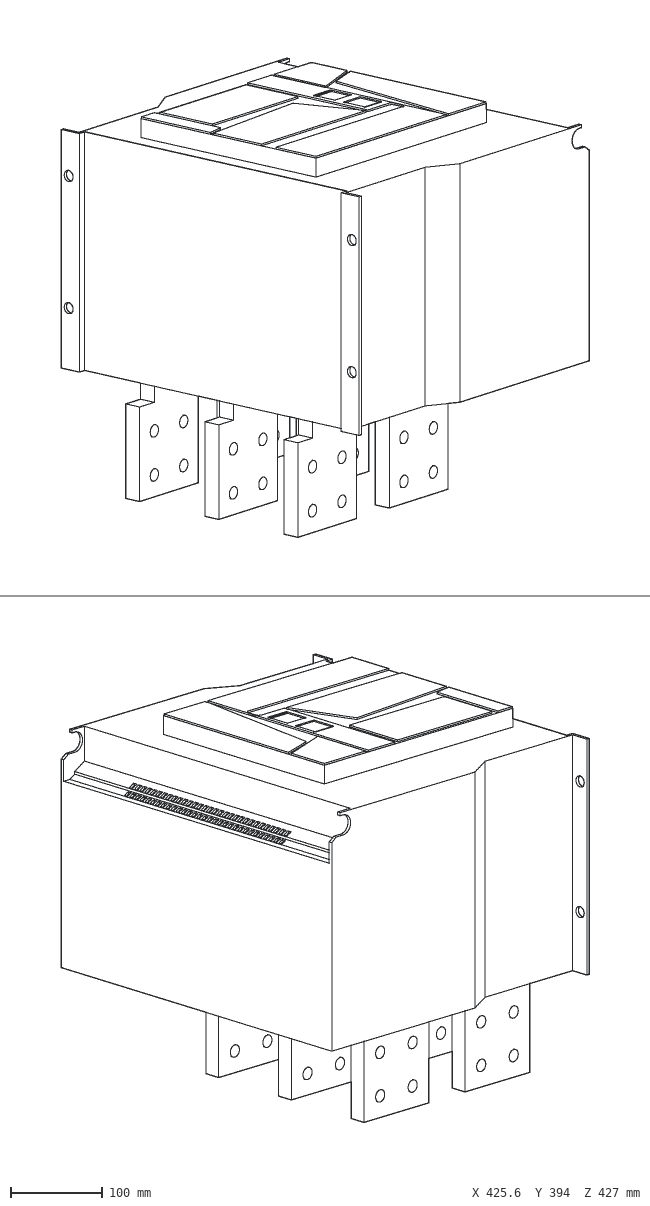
import cadquery as cq
import math


flange_width = 425.6
depth = 394.0
height = 271.0
rear_width = 421.0
front_width = 381.5
sheet = 4.0
flange_inset = 26.0
taper_start = 138.5
taper_end = 174.0
front_face_y = 9.0
cover_thickness = 1.0
cover_drop = 0.1

flange_hole_diameter = 12.5
flange_hole_span = 404.5
flange_hole_heights = (70.0, 220.0)

notch_radius = 11.5
notch_centre_y = depth - 17.5
notch_centre_z = height - 15.0
hook_length = 13.0
corner_chamfer = 7.0
corner_chamfer_drop = 5.0

shelf_length = 9.5
riser_distance = 17.0
recess_length = 32.0
recess_wall_drop = 40.0
slope_angle = 30.0
riser_height = 3.0

vent_count = 31
vent_pitch = 8.0
vent_width = 4.6
vent_depth = 3.0
vent_rows = ((10.3, 15.5), (17.8, 24.3))

panel_width = 250.0
panel_length = 290.0
panel_front_y = 31.0
panel_height = 23.5
relief = 2.0
relief_inset = 0.3
panel_base = panel_height - relief
grip_left = 172.0
grip_right = 192.5
grip_corner_radius = 5.0
grip_top = 221.0
band_bottom = 181.0
band_top = 222.0
window_width = 30.5
window_bottom = 188.5
window_length = 28.5
window_lefts = (88.2, 131.0)
window_depth = 1.5
window_ledge_depth = 0.8
window_ledge = 2.0

bar_thickness = 20.0
bar_spacing = 113.0
bar_width = 100.0
bar_drop = 132.5
bar_corner = 25.0
bar_hole_diameter = 14.0
bar_hole_edge = 25.0
bar_hole_spacing = 50.0
front_bar_y = 2.6
rear_bar_y = 158.0

slope_rise = math.tan(math.radians(slope_angle))


def box(x0, x1, y0, y1, z0, z1):
    return cq.Workplane("XY").box(x1 - x0, y1 - y0, z1 - z0, centered=False).translate((x0, y0, z0))


def prism_along_x(points, x0, x1):
    return cq.Workplane("YZ", origin=(x0, 0, 0)).polyline(points).close().extrude(x1 - x0)


def enclosure():
    """Block with tapered sides and two front flanges.

    The front cover ends just below the top face.
    """
    half_flange = flange_width / 2
    half_front = front_width / 2
    half_rear = rear_width / 2
    right_side = [
        (half_flange - flange_inset, front_face_y),
        (half_flange - flange_inset, 0),
        (half_flange, 0),
        (half_flange, sheet),
        (half_front, sheet),
        (half_front, taper_start),
        (half_rear, taper_end),
        (half_rear, depth),
    ]
    left_side = [(-x, y) for x, y in reversed(right_side)]
    body = cq.Workplane("XY").polyline(right_side + left_side).close().extrude(height)
    holes = (
        cq.Workplane("XZ")
        .pushPoints([(side * flange_hole_span / 2, z) for side in (-1, 1) for z in flange_hole_heights])
        .circle(flange_hole_diameter / 2)
        .extrude(-sheet)
    )
    half_inside = half_flange - flange_inset
    cover_edge = box(
        -half_inside, half_inside,
        front_face_y, front_face_y + cover_thickness,
        height - cover_drop, height,
    )
    return body.cut(holes).cut(cover_edge)


def lower_slope_z(distance):
    """Height of the lower slope at a distance inward from the rear."""
    upper_foot = height - recess_wall_drop - (recess_length - riser_distance) * slope_rise
    return upper_foot - riser_height - (riser_distance - distance) * slope_rise


def slope_z(distance):
    """Height of the sloped surface, with the riser between the two slopes."""
    if distance > riser_distance:
        return lower_slope_z(distance) + riser_height
    return lower_slope_z(distance)


def rear_recess():
    """Cut between the side plates that leaves a shelf and two slopes parted by a riser."""
    half_inside = rear_width / 2 - sheet
    shelf_z = lower_slope_z(shelf_length)
    profile = [
        (depth, height),
        (depth - recess_length, height),
        (depth - recess_length, slope_z(recess_length)),
        (depth - riser_distance, lower_slope_z(riser_distance) + riser_height),
        (depth - riser_distance, lower_slope_z(riser_distance)),
        (depth - shelf_length, shelf_z),
        (depth, shelf_z),
    ]
    return prism_along_x(profile, -half_inside, half_inside)


def vent_slots():
    """Two rows of slots sunk square to the slopes."""
    inward_y = vent_depth * math.sin(math.radians(slope_angle))
    inward_z = vent_depth * math.cos(math.radians(slope_angle))
    slots = []
    for rear_end, front_end in vent_rows:
        rear_y = depth - rear_end
        front_y = depth - front_end
        profile = [
            (rear_y, slope_z(rear_end)),
            (front_y, slope_z(front_end)),
            (front_y - inward_y, slope_z(front_end) - inward_z),
            (rear_y - inward_y, slope_z(rear_end) - inward_z),
        ]
        slot = prism_along_x(profile, -vent_width / 2, vent_width / 2).val()
        for index in range(vent_count):
            offset = (index - (vent_count - 1) / 2) * vent_pitch
            slots.append(slot.translate(cq.Vector(offset, 0, 0)))
    return cq.Workplane(cq.Compound.makeCompound(slots))


def side_notch():
    """Rounded slot open to the rear, leaving a short hook above it."""
    lip_z = notch_centre_z + notch_radius
    floor_z = notch_centre_z - notch_radius
    return (
        cq.Workplane("YZ", origin=(-rear_width / 2, 0, 0))
        .moveTo(depth, height)
        .lineTo(depth - hook_length, height)
        .lineTo(depth - hook_length, lip_z)
        .lineTo(notch_centre_y, lip_z)
        .threePointArc((notch_centre_y - notch_radius, notch_centre_z), (notch_centre_y, floor_z))
        .lineTo(depth - corner_chamfer, floor_z)
        .lineTo(depth, floor_z - corner_chamfer_drop)
        .close()
        .extrude(rear_width)
    )


def raised_plate(points):
    return cq.Workplane("XY").workplane(offset=panel_base).polyline(points).close().extrude(relief)


def control_plate():
    """Band with two windows, joined to the right-hand column around the grip groove."""
    plate = raised_plate([
        (0, band_bottom),
        (grip_left, band_bottom),
        (grip_left, 0),
        (panel_width, 0),
        (panel_width, band_top),
        (0, band_top),
    ])
    grip = box(grip_left, grip_right, 0, grip_top, panel_base, panel_height)
    plate = plate.cut(grip.edges("|Z and >Y").fillet(grip_corner_radius))
    window_top = window_bottom + window_length
    for left, ledge_left, ledge_right in (
        (window_lefts[0], window_ledge, 0),
        (window_lefts[1], 0, window_ledge),
    ):
        right = left + window_width
        ledge = box(left, right, window_bottom, window_top, panel_height - window_ledge_depth, panel_height)
        opening = box(
            left + ledge_left, right - ledge_right,
            window_bottom, window_top,
            panel_height - window_depth, panel_height,
        )
        plate = plate.cut(ledge).cut(opening)
    return plate


def panel():
    """Top panel, built from its own front left corner and then put in place."""
    upper_left = [(0, 226), (74.5, 226), (51, panel_length), (0, panel_length)]
    upper_right = [(56, panel_length), (70, 248.5), (panel_width, 226), (panel_width, panel_length)]
    label_plate = [(3.7, 28), (78.5, 28), (78.5, 173.5), (3.7, 173.5)]
    lower_left = [(0, 0), (99, 0), (95, 22.5), (0, 22.5)]
    lower_middle = [(103, 0), (grip_left, 0), (grip_left, 178), (91.5, 149.5)]
    plates = control_plate()
    for outline in (upper_left, upper_right, label_plate, lower_left, lower_middle):
        plates = plates.union(raised_plate(outline))
    plates = plates.intersect(box(
        relief_inset, panel_width - relief_inset,
        relief_inset, panel_length - relief_inset,
        panel_base, panel_height,
    ))
    built = box(0, panel_width, 0, panel_length, 0, panel_base).union(plates)
    return built.translate((-panel_width / 2, panel_front_y, height))


def terminal_bar(centre_x, front_y, corner_at_front):
    """Drilled bar with one upper corner cut away at its front or its rear."""
    x0 = centre_x - bar_thickness / 2
    x1 = centre_x + bar_thickness / 2
    bar = box(x0, x1, front_y, front_y + bar_width, -bar_drop, 0)
    corner_y = front_y if corner_at_front else front_y + bar_width - bar_corner
    bar = bar.cut(box(x0, x1, corner_y, corner_y + bar_corner, -bar_corner, 0))
    first_y = front_y + bar_hole_edge
    first_z = bar_hole_edge - bar_drop
    centres = [
        (first_y + i * bar_hole_spacing, first_z + j * bar_hole_spacing)
        for i in range(2) for j in range(2)
    ]
    holes = cq.Workplane("YZ", origin=(x0, 0, 0)).pushPoints(centres).circle(bar_hole_diameter / 2)
    return bar.cut(holes.extrude(bar_thickness))


result = enclosure().cut(rear_recess()).cut(vent_slots()).cut(side_notch()).union(panel())
for position in (-1, 0, 1):
    result = result.union(terminal_bar(position * bar_spacing, front_bar_y, True))
    result = result.union(terminal_bar(position * bar_spacing, rear_bar_y, False))